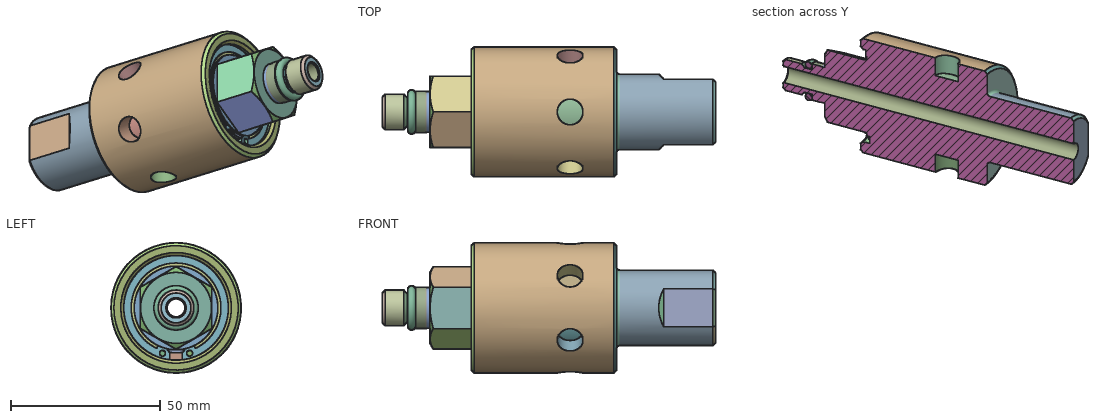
import cadquery as cq
import math


total_length = 111.84
spigot_length = 7.2
collar_start = 11.18
collar_end = 14.5
nut_front = 16.0
housing_front = 29.8
housing_back = 78.6
flat_start = 94.4

spigot_diameter = 12.0
spigot_chamfer = 1.0
groove_diameter = 9.6
collar_diameter = 14.0
collar_taper_length = 0.35
neck_diameter = 13.8
bore_diameter = 6.0
bore_chamfer = 0.4

ring_section = 2.65
ring_center_radius = (groove_diameter + ring_section) / 2
ring_center_x = collar_start - ring_section / 2

nut_across_flats = 24.0
nut_corner_radius = nut_across_flats / math.sqrt(3)
nut_face_radius = 11.9
nut_chamfer_angle = 30.0

housing_diameter = 43.7
housing_chamfer = 1.0
recess_diameter = 35.08
recess_chamfer = 1.0
clip_inner_diameter = 30.12
hub_diameter = 28.06

hub_depth = 1.75
clip_depth = 2.0
gap_depth = 2.3
clip_thickness = 1.5

lug_hole_diameter = 1.98
lug_hole_offset = 4.55
lug_hole_drop = 15.2
lug_gap = 4.3
lug_half_angle = 25.5
lug_flare_radius = 15.0
lug_flare_gap = 5.8

radial_hole_count = 6
radial_hole_diameter = 8.6
radial_hole_x = 63.0
radial_hole_floor_diameter = clip_inner_diameter

shaft_diameter = 25.4
shaft_chamfer = 1.0
shaft_fillet = 1.0
flat_across = 22.0


def x_cylinder(diameter, start, end):
    """Solid cylinder along X between two stations."""
    return cq.Workplane("YZ", origin=(start, 0, 0)).circle(diameter / 2).extrude(end - start)


def x_tube(outer, inner, start, end):
    """Tube along X between two stations."""
    section = cq.Workplane("YZ", origin=(start, 0, 0)).circle(outer / 2).circle(inner / 2)
    return section.extrude(end - start)


def x_countersink(hole_diameter, depth, start):
    """45 degree cone that chamfers the front mouth of a hole along X."""
    radius = hole_diameter / 2
    cone = cq.Solid.makeCone(
        radius + depth, radius, depth, pnt=cq.Vector(start, 0, 0), dir=cq.Vector(1, 0, 0)
    )
    return cq.Workplane("XY").add(cone)


def make_spigot():
    """Tip, ring groove, collar and neck in front of the nut."""
    tip_radius = spigot_diameter / 2
    groove_radius = groove_diameter / 2
    collar_radius = collar_diameter / 2
    neck_radius = neck_diameter / 2
    groove_start = spigot_length + tip_radius - groove_radius
    return (
        cq.Workplane("XY")
        .lineTo(0, tip_radius - spigot_chamfer)
        .lineTo(spigot_chamfer, tip_radius)
        .lineTo(spigot_length, tip_radius)
        .lineTo(groove_start, groove_radius)
        .lineTo(collar_start, groove_radius)
        .lineTo(collar_start, collar_radius)
        .lineTo(collar_end, collar_radius)
        .lineTo(collar_end + collar_taper_length, neck_radius)
        .lineTo(nut_front, neck_radius)
        .lineTo(nut_front, 0)
        .close()
        .revolve(360, (0, 0, 0), (1, 0, 0))
    )


def make_nut():
    """Hexagon with corners up and down, its front corners turned off to a cone."""
    nut_end = housing_front + hub_depth
    hexagon = (
        cq.Workplane("YZ", origin=(nut_front, 0, 0))
        .transformed(rotate=(0, 0, 90))
        .polygon(6, 2 * nut_corner_radius)
        .extrude(nut_end - nut_front)
    )
    cone_length = (nut_corner_radius - nut_face_radius) * math.tan(math.radians(nut_chamfer_angle))
    envelope = (
        cq.Workplane("XY")
        .moveTo(nut_front, 0)
        .lineTo(nut_front, nut_face_radius)
        .lineTo(nut_front + cone_length, nut_corner_radius)
        .lineTo(nut_end, nut_corner_radius)
        .lineTo(nut_end, 0)
        .close()
        .revolve(360, (0, 0, 0), (1, 0, 0))
    )
    return hexagon.intersect(envelope)


def make_housing():
    """Chamfered cylinder with a stepped front recess around a hub and a row of radial holes."""
    housing = x_cylinder(housing_diameter, housing_front, housing_back)
    housing = housing.faces("<X or >X").chamfer(housing_chamfer)
    recess_floor = housing_front + clip_depth + clip_thickness
    hub_front = housing_front + hub_depth
    gap_floor = housing_front + gap_depth
    recess = x_tube(recess_diameter, clip_inner_diameter, housing_front, recess_floor)
    gap = x_tube(clip_inner_diameter, hub_diameter, housing_front, gap_floor)
    hub_clearance = x_cylinder(hub_diameter, housing_front, hub_front)
    recess_mouth = x_countersink(recess_diameter, recess_chamfer, housing_front)
    housing = housing.cut(recess).cut(gap).cut(hub_clearance).cut(recess_mouth)
    for index in range(radial_hole_count):
        hole = (
            cq.Workplane("XY", origin=(radial_hole_x, 0, 0))
            .circle(radial_hole_diameter / 2)
            .extrude(housing_diameter)
            .cut(x_cylinder(radial_hole_floor_diameter, housing_front, housing_back))
            .rotate((0, 0, 0), (1, 0, 0), index * 360 / radial_hole_count)
        )
        housing = housing.cut(hole)
    return housing


def make_clip():
    """Retaining clip in the recess: a ring open at the bottom between two drilled lugs."""
    start = housing_front + clip_depth
    end = start + clip_thickness
    ring = x_tube(recess_diameter, clip_inner_diameter, start, end)
    half_width = recess_diameter / 2 * math.tan(math.radians(lug_half_angle))
    wedge = (
        cq.Workplane("YZ", origin=(start, 0, 0))
        .polyline([(0, 0), (half_width, -recess_diameter / 2), (-half_width, -recess_diameter / 2)])
        .close()
        .extrude(clip_thickness)
    )
    lugs = x_tube(recess_diameter, hub_diameter, start, end).intersect(wedge)
    opening = (
        cq.Workplane("YZ", origin=(start, 0, 0))
        .moveTo(-lug_gap / 2, -recess_diameter / 2)
        .lineTo(-lug_gap / 2, -lug_flare_radius)
        .lineTo(-lug_flare_gap / 2, -hub_diameter / 2)
        .lineTo(lug_flare_gap / 2, -hub_diameter / 2)
        .lineTo(lug_gap / 2, -lug_flare_radius)
        .lineTo(lug_gap / 2, -recess_diameter / 2)
        .close()
        .extrude(clip_thickness)
    )
    lug_holes = (
        cq.Workplane("YZ", origin=(start, 0, 0))
        .pushPoints([(lug_hole_offset, -lug_hole_drop), (-lug_hole_offset, -lug_hole_drop)])
        .circle(lug_hole_diameter / 2)
        .extrude(clip_thickness)
    )
    return ring.union(lugs).cut(opening).cut(lug_holes)


def make_shaft():
    """Output shaft, filleted into the housing, with two wrench flats running out at 45 degrees."""
    radius = shaft_diameter / 2
    shaft = (
        cq.Workplane("XY")
        .moveTo(housing_back, 0)
        .lineTo(housing_back, radius + shaft_fillet)
        .radiusArc((housing_back + shaft_fillet, radius), -shaft_fillet)
        .lineTo(total_length, radius)
        .lineTo(total_length, 0)
        .close()
        .revolve(360, (0, 0, 0), (1, 0, 0))
    )
    flat_y = flat_across / 2
    flat_depth = radius - flat_y
    flat_cut = (
        cq.Workplane("XY", origin=(0, 0, -radius))
        .moveTo(flat_start, flat_y)
        .lineTo(flat_start - flat_depth, radius)
        .lineTo(total_length, radius)
        .lineTo(total_length, flat_y)
        .close()
        .extrude(shaft_diameter)
    )
    shaft = shaft.cut(flat_cut).cut(flat_cut.mirror("XZ"))
    return shaft.faces(">X").chamfer(shaft_chamfer)


def make_union_body():
    """Spigot, nut, housing, clip and shaft as one solid with a through bore."""
    body = make_housing().union(make_clip()).union(make_nut()).union(make_spigot()).union(make_shaft())
    bore_mouth = x_countersink(bore_diameter, bore_chamfer, 0)
    return body.cut(x_cylinder(bore_diameter, 0, total_length)).cut(bore_mouth)


def make_sealing_ring():
    """Round-section ring resting on the groove floor and against the collar."""
    return (
        cq.Workplane("XY")
        .center(ring_center_x, ring_center_radius)
        .circle(ring_section / 2)
        .revolve(360, (0, -ring_center_radius, 0), (1, -ring_center_radius, 0))
    )


union_body = make_union_body()
sealing_ring = make_sealing_ring()
result = cq.Compound.makeCompound([union_body.val(), sealing_ring.val()])